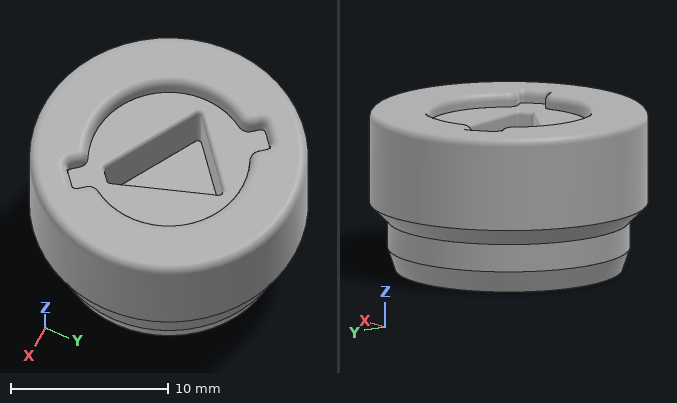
import cadquery as cq

body_radius = 8.88
neck_radius = 7.73
foot_radius = 7.25
height = 10.4
body_bottom = 4.35
neck_top = 3.2
foot_top = 1.42
rim_fillet = 0.6

recess_radius = 5.15
recess_depth = 1.0
tab_reach = 6.49
tab_width = 1.85
tab_corner_radius = 0.3
tab_root_radius = 0.71
recess_fillet = 0.6

pocket_depth = 3.35
pocket_base = -2.83
pocket_tip = 4.12
base_half_width = 3.18
tip_half_width = 0.53
pocket_corner_radius = 0.25
pocket_fillet = 0.3

key_angle = -50.0

recess_floor = height - recess_depth

recess_zone = (tab_reach + body_radius - rim_fillet) / 2
pocket_zone = (pocket_tip + recess_radius) / 2


def make_body():
    profile = (
        cq.Workplane("XZ")
        .polyline(
            [
                (0, 0),
                (foot_radius, 0),
                (neck_radius, foot_top),
                (neck_radius, neck_top),
                (body_radius, body_bottom),
                (body_radius, height),
                (0, height),
            ]
        )
        .close()
    )
    body = profile.revolve(360, (0, 0, 0), (0, 1, 0))
    return body.faces(">Z").edges().fillet(rim_fillet)


def make_recess_cutter():
    plane = cq.Workplane("XY").workplane(offset=recess_floor)
    tabs = plane.rect(2 * tab_reach, tab_width).extrude(recess_depth)
    tabs = tabs.edges("|Z").fillet(tab_corner_radius)
    cutter = plane.circle(recess_radius).extrude(recess_depth).union(tabs)
    root_reach = (recess_radius + tab_width) / 2
    root_zone = cq.selectors.BoxSelector(
        (-recess_radius, -tab_width, 0), (-root_reach, tab_width, height)
    ) + cq.selectors.BoxSelector(
        (root_reach, -tab_width, 0), (recess_radius, tab_width, height)
    )
    return cutter.edges("|Z").edges(root_zone).fillet(tab_root_radius)


def make_pocket_cutter():
    return (
        cq.Workplane("XY")
        .workplane(offset=recess_floor - pocket_depth)
        .polyline(
            [
                (pocket_base, -base_half_width),
                (pocket_tip, -tip_half_width),
                (pocket_tip, tip_half_width),
                (pocket_base, base_half_width),
            ]
        )
        .close()
        .extrude(pocket_depth)
        .edges("|Z")
        .fillet(pocket_corner_radius)
    )


def edges_at_height(z, half_size):
    """Select the edges lying at height z within half_size of the axis."""
    margin = 0.02
    return cq.selectors.BoxSelector(
        (-half_size, -half_size, z - margin),
        (half_size, half_size, z + margin),
        boundingbox=True,
    )


part = make_body().cut(make_recess_cutter())
part = part.edges(edges_at_height(height, recess_zone)).fillet(recess_fillet)
part = part.cut(make_pocket_cutter())
part = part.edges(edges_at_height(recess_floor, pocket_zone)).fillet(pocket_fillet)

result = part.rotate((0, 0, 0), (0, 0, 1), key_angle)